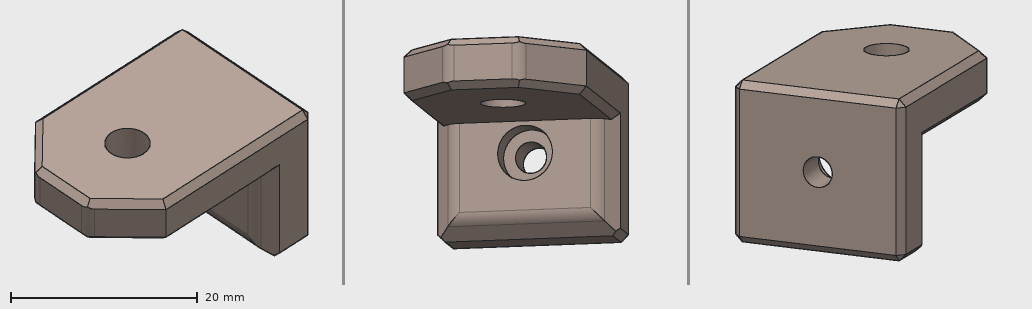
import cadquery as cq

width = 20.0
length = 28.0
height = 18.0

plate_thickness = 5.52
wall_thickness = 7.0
edge_chamfer = 0.8
nose_cut = 6.0
bevel = 2.0
blend_radius = 2.0

plate_hole_diameter = 4.85
plate_hole_y = 10.0
wall_hole_diameter = 3.4
counterbore_diameter = 6.0
counterbore_depth = 3.0
wall_hole_z = height - 9.0

half_width = width / 2
nose_half_width = half_width - nose_cut
wall_front_y = length - wall_thickness
plate_bottom_z = height - plate_thickness


def make_plate():
    """Horizontal plate with bevelled edges and a rounded, tapered nose."""
    outline = [
        (-half_width, length),
        (-half_width, nose_cut),
        (-nose_half_width, 0),
        (nose_half_width, 0),
        (half_width, nose_cut),
        (half_width, length),
    ]
    blank = cq.Workplane("XY").workplane(offset=plate_bottom_z).polyline(outline).close()
    blank = blank.extrude(plate_thickness)
    bevelled = blank.edges("<Z or >Z or (|Z and >Y)").chamfer(edge_chamfer)
    rounded = blank.edges("|Z and <Y").fillet(blend_radius)
    return bevelled.intersect(rounded)


def make_wall():
    """Upright wall whose front face is bevelled and rounded at the sides and bottom."""
    block = (
        cq.Workplane("XY")
        .box(width, wall_thickness, height, centered=(True, False, False))
        .translate((0, wall_front_y, 0))
    )
    sides = block.edges("|Z and <Y").chamfer(bevel)
    sides = sides.faces("<Y").edges("|Z").fillet(blend_radius)
    bottom = block.edges("|X and <Y and <Z").chamfer(bevel)
    bottom = bottom.faces("<Y").edges("<Z").fillet(blend_radius)
    outer = block.edges("|Y or >Y").chamfer(edge_chamfer)
    return outer.intersect(sides).intersect(bottom)


def drill_holes(bracket):
    """Plain hole through the plate and counterbored hole through the wall."""
    plate_hole = (
        cq.Workplane("XY")
        .center(0, plate_hole_y)
        .circle(plate_hole_diameter / 2)
        .extrude(height)
    )
    wall_plane = cq.Workplane("XZ", origin=(0, wall_front_y, wall_hole_z))
    wall_hole = wall_plane.circle(wall_hole_diameter / 2).extrude(-wall_thickness)
    counterbore = wall_plane.circle(counterbore_diameter / 2).extrude(-counterbore_depth)
    return bracket.cut(plate_hole).cut(wall_hole).cut(counterbore)


result = drill_holes(make_plate().union(make_wall()))